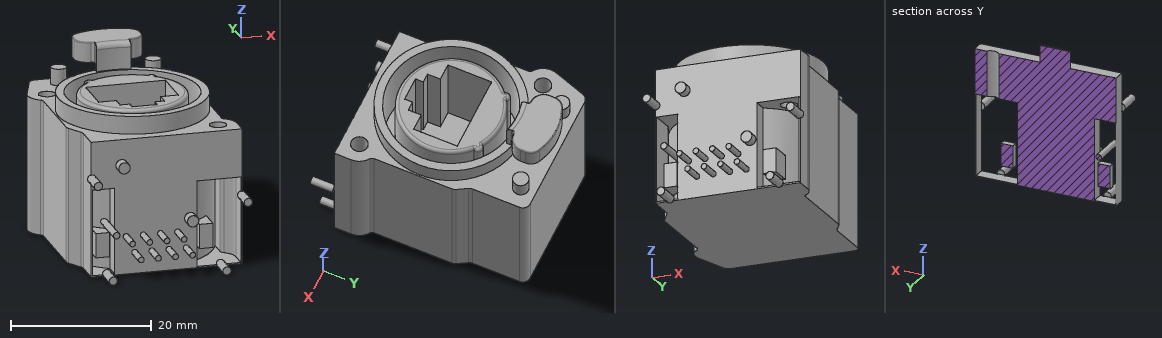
import cadquery as cq
import math


body_height = 20.33
back_y = 16.45
front_y = -12.55
waist_x = 11.25
back_right_x = 10.05
front_left_x = -9.65
left_shoulder_y = -5.38
right_shoulder_y = 5.55
shoulder_slope = math.radians(60)
corner_radius = 1.17
ear_blend_radius = 0.65

screw_x = 9.9
screw_y = 9.87
screw_hole_radius = 1.25
ear_radius = 2.87
ear_tangent_angle = math.radians(161)
ear_side_angle = math.radians(200)

collar_height = 2.67
collar_top = body_height + collar_height
collar_outer_radius = 11.0
collar_inner_radius = 9.77
insert_radius = 7.98
insert_edge_radius = 0.52
key_angles = (54, 126)
key_centre_radius = 7.9
key_outer_radius = 0.72

opening_back_y = 3.65
opening_steps = [(5.9, -3.2), (3.3, -5.2), (1.85, -6.45)]
opening_depth = 13.03

wall = 0.23
pocket_top = 13.1
pocket_left_x = -6.2
pocket_right_x = 6.05
pocket_back_y = -0.65
core_anchor_y = -3.9
core_radius = 11.85
lug_width = 2.0
lug_height = 3.65
lug_bottom = 2.55
lug_front_y = -11.63
lug_left_x = -7.7
lug_right_x = 7.65

tab_top = 27.1
tab_thickness = 3.05
tab_half_width = 5.02
tab_back_y = 16.52
tab_shoulder_x = 3.9
tab_shoulder_y = 15.65
tab_side_back_y = 13.98
tab_shoulder_mid = (4.72, 14.95)
tab_front_y = 11.15
tab_front_radius = 2.0
tab_edge_radius = 0.13
neck_half_width = 2.55
neck_blend_radius = 0.52
neck_back_radius = 10.82
neck_face_radius = 10.15
neck_bend_radius = 0.85

post_radius = 1.17
post_height = 2.48
post_x = 7.0
post_y = 14.1

pin_length = 3.52
ground_pin_radius = 0.62
ground_pins = [(-9.55, 14.82), (12.67, 10.4), (-7.33, 0.35), (9.5, 0.35)]
pocket_pin_radius = 0.5
pocket_pin = (-6.85, 7.17)
signal_pin_radius = 0.42
signal_pitch = 2.55
signal_count = 4
signal_rows = [(-4.45, 5.7), (-3.2, 3.2)]
peg_radius = 0.85
peg_length = 1.5
pegs = [(-5.1, 16.5), (5.05, 7.6)]


def cylinder(radius, bottom, top, x=0, y=0):
    return cq.Workplane("XY", origin=(x, y, bottom)).circle(radius).extrude(top - bottom)


def front_rod(radius, x, z, start_y, end_y):
    """Rod along Y from start_y forward to end_y."""
    return cq.Workplane("XZ", origin=(x, start_y, z)).circle(radius).extrude(start_y - end_y)


def span_box(x_min, x_max, y_min, y_max, z_min, z_max):
    size = (x_max - x_min, y_max - y_min, z_max - z_min)
    return cq.Workplane("XY", origin=(x_min, y_min, z_min)).box(*size, centered=False)


def housing_block():
    """Prism with two opposite ears and rounded vertical edges."""
    ear_joint_y = screw_y - math.sqrt(ear_radius**2 - (waist_x - screw_x)**2)
    tangent_x = -screw_x + ear_radius * math.cos(ear_tangent_angle)
    tangent_y = screw_y + ear_radius * math.sin(ear_tangent_angle)
    back_left_x = tangent_x - (back_y - tangent_y) * math.tan(ear_tangent_angle)
    left_mid_x = -screw_x + ear_radius * math.cos(ear_side_angle)
    left_mid_y = screw_y + ear_radius * math.sin(ear_side_angle)
    ear_diagonal = ear_radius * math.sqrt(0.5)
    left_diagonal_y = left_shoulder_y - (waist_x + front_left_x) * math.tan(shoulder_slope)
    right_diagonal_y = right_shoulder_y + (waist_x - back_right_x) * math.tan(shoulder_slope)

    block = (
        cq.Workplane("XY")
        .moveTo(front_left_x, front_y)
        .lineTo(screw_x + ear_radius, front_y)
        .lineTo(screw_x + ear_radius, -screw_y)
        .threePointArc((screw_x + ear_diagonal, -screw_y + ear_diagonal), (waist_x, -ear_joint_y))
        .lineTo(waist_x, right_shoulder_y)
        .lineTo(back_right_x, right_diagonal_y)
        .lineTo(back_right_x, back_y)
        .lineTo(back_left_x, back_y)
        .lineTo(tangent_x, tangent_y)
        .threePointArc((left_mid_x, left_mid_y), (-waist_x, ear_joint_y))
        .lineTo(-waist_x, left_shoulder_y)
        .lineTo(front_left_x, left_diagonal_y)
        .close()
        .extrude(body_height)
    )

    def edge_at(x, y):
        return cq.selectors.NearestToPointSelector((x, y, body_height / 2))

    corners = [
        (back_left_x, back_y),
        (back_right_x, back_y),
        (waist_x, right_shoulder_y),
        (back_right_x, right_diagonal_y),
        (-waist_x, left_shoulder_y),
        (front_left_x, left_diagonal_y),
    ]
    for x, y in corners:
        block = block.edges("|Z").edges(edge_at(x, y)).fillet(corner_radius)
    for side in (-1, 1):
        joint = edge_at(side * waist_x, -side * ear_joint_y)
        block = block.edges("|Z").edges(joint).fillet(ear_blend_radius)
    return block


def front_pockets(block):
    """Space between the thin outer wall and the round core, on both sides of the centre block."""
    outline = block.faces("<Z").wires().val()
    inside = cq.Workplane("XY").add(outline.offset2D(-wall)).toPending().extrude(pocket_top - wall)
    inside = inside.translate((0, 0, wall))
    left_wall_x = front_left_x + wall
    right_wall_x = screw_x + ear_radius - wall
    mouth = span_box(left_wall_x, right_wall_x, front_y - wall, front_y + 2 * wall, wall, pocket_top)
    outer_x = 2 * waist_x
    left_side = span_box(-outer_x, pocket_left_x, front_y - wall, pocket_back_y, 0, body_height)
    right_side = span_box(pocket_right_x, outer_x, front_y - wall, pocket_back_y, 0, body_height)
    core = cylinder(core_radius, 0, body_height)
    return inside.union(mouth).intersect(left_side.union(right_side)).cut(core)


def insert():
    """Round plug insert with two keys on its rim and a rounded top edge."""
    plug = cylinder(insert_radius, pocket_top, collar_top)
    for angle in key_angles:
        x = key_centre_radius * math.cos(math.radians(angle))
        y = key_centre_radius * math.sin(math.radians(angle))
        plug = plug.union(cylinder(key_outer_radius, pocket_top, collar_top, x, y))
    return plug.faces(">Z").edges().fillet(insert_edge_radius)


def jack_opening():
    opening = None
    for half_width, step_y in opening_steps:
        step = span_box(
            -half_width, half_width, step_y, opening_back_y, collar_top - opening_depth, collar_top
        )
        opening = step if opening is None else opening.union(step)
    return opening


def release_tab():
    """Rounded thumb pad on a neck that stands on the collar."""
    side_front_y = tab_front_y + tab_front_radius
    foot_x = neck_half_width + neck_blend_radius
    blend_y = tab_front_y - neck_blend_radius
    pad_bend = tab_front_radius * (1 - math.sqrt(0.5))
    neck_bend = neck_blend_radius * (1 - math.sqrt(0.5))
    mid_x, mid_y = tab_shoulder_mid
    pad = (
        cq.Workplane("XY", origin=(0, 0, tab_top - tab_thickness))
        .moveTo(-tab_shoulder_x, tab_shoulder_y)
        .threePointArc((0, tab_back_y), (tab_shoulder_x, tab_shoulder_y))
        .threePointArc((mid_x, mid_y), (tab_half_width, tab_side_back_y))
        .lineTo(tab_half_width, side_front_y)
        .threePointArc((tab_half_width - pad_bend, tab_front_y + pad_bend), (foot_x, tab_front_y))
        .threePointArc((neck_half_width + neck_bend, tab_front_y - neck_bend), (neck_half_width, blend_y))
        .lineTo(-neck_half_width, blend_y)
        .threePointArc((-neck_half_width - neck_bend, tab_front_y - neck_bend), (-foot_x, tab_front_y))
        .threePointArc((-tab_half_width + pad_bend, tab_front_y + pad_bend), (-tab_half_width, side_front_y))
        .lineTo(-tab_half_width, tab_side_back_y)
        .threePointArc((-mid_x, mid_y), (-tab_shoulder_x, tab_shoulder_y))
        .close()
        .extrude(tab_thickness)
    )
    pad = pad.faces(">Z").edges("not <Y").fillet(tab_edge_radius)
    pad = pad.cut(cylinder(neck_face_radius + neck_bend_radius, collar_top, tab_top))

    neck = span_box(-neck_half_width, neck_half_width, 0, tab_front_y, collar_top, tab_top)
    neck = neck.cut(cylinder(neck_face_radius, collar_top, tab_top))
    bend_edge = cq.selectors.NearestToPointSelector((0, neck_face_radius, tab_top))
    neck = neck.edges(bend_edge).fillet(neck_bend_radius)
    pad_bottom = tab_top - tab_thickness
    under_pad = span_box(-neck_half_width, neck_half_width, 0, tab_front_y, collar_top, pad_bottom)
    neck = neck.cut(under_pad.cut(cylinder(neck_back_radius, collar_top, pad_bottom)))
    return pad.union(neck)


block = housing_block()
pockets = front_pockets(block)

result = block.union(cylinder(collar_outer_radius, body_height, collar_top))
result = result.cut(cylinder(collar_inner_radius, pocket_top, collar_top))
result = result.union(insert()).cut(jack_opening()).cut(pockets)

for side in (-1, 1):
    result = result.cut(
        cylinder(screw_hole_radius, pocket_top, body_height, side * screw_x, -side * screw_y)
    )

for lug_x in (lug_left_x, lug_right_x):
    left_x = lug_x - lug_width / 2
    right_x = lug_x + lug_width / 2
    lug_top = lug_bottom + lug_height
    result = result.union(span_box(left_x, right_x, lug_front_y, core_anchor_y, lug_bottom, lug_top))

for x in (-post_x, post_x):
    result = result.union(cylinder(post_radius, body_height, body_height + post_height, x, post_y))
result = result.union(release_tab())

pin_end_y = front_y - pin_length
for x, z in ground_pins:
    result = result.union(front_rod(ground_pin_radius, x, z, front_y, pin_end_y))
for row_x, z in signal_rows:
    for i in range(signal_count):
        x = row_x + i * signal_pitch
        result = result.union(front_rod(signal_pin_radius, x, z, front_y, pin_end_y))
for x, z in pegs:
    result = result.union(front_rod(peg_radius, x, z, front_y, front_y - peg_length))
result = result.union(front_rod(pocket_pin_radius, *pocket_pin, core_anchor_y, pin_end_y))